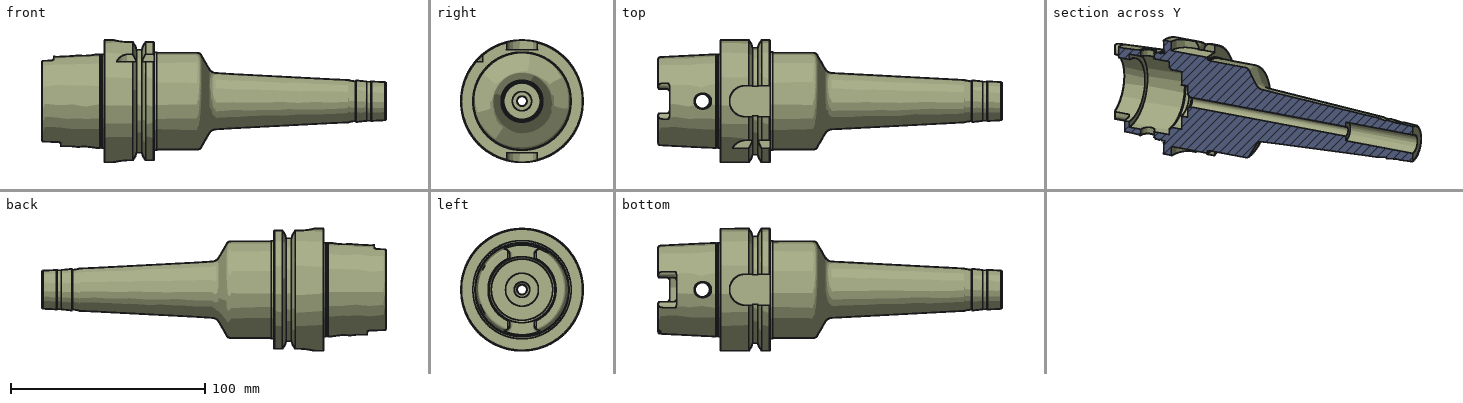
import cadquery as cq
import math

LENGTH = 177.0
EDGE_MARGIN = 0.2

GAUGE_RADIUS = 48.0 / 2
GAUGE_X = 25.7
TAPER_SLOPE = 0.05
TIP_FILLET = 1.5
NECK_START = 29.7
NECK_END = 31.0
NECK_BEVEL = 0.4
NECK_RADIUS = 23.9
SEAT_LAND_RADIUS = 24.2
FACE_RELIEF_RADIUS = 25.3
FACE_RELIEF_DEPTH = 0.5

FLANGE_RADIUS = 63.0 / 2
FLANGE_START = 32.0
FLANGE_END = 57.7
FLANGE_CHAMFER = 0.4
GROOVE_START = 48.1
GROOVE_END = 51.9
GROOVE_DRAFT = 0.5
GROOVE_RADIUS = 27.6
GROOVE_LIP_RADIUS = 29.4
GROOVE_LIP_LEFT = 1.5
GROOVE_LIP_RIGHT = 1.5

BODY_RADIUS = 50.0 / 2
COLLAR_RADIUS = 25.3
COLLAR_LENGTH = 1.2
BODY_CORNER_X = 81.2
BODY_FILLET = 2.5
CONE_ANGLE = 60.0

NOSE_START_RADIUS = 14.7
NOSE_FILLET = 3.9
NOSE_STEP_X = 157.5
NOSE_STEP_RADIUS = 11.0
RING_STEP = 0.5
RING_SEAT_RADIUS = 10.3
RING_X = 161.2
RING_RADIUS = 10.8
NOSE_GROOVE_START = 166.5
NOSE_GROOVE_END = 169.5
NOSE_GROOVE_RADIUS = 10.1
NOSE_TIP_RADIUS = 10.0
NOSE_CHAMFER = 0.5

BORE_RADIUS = 34.0 / 2
BORE_CHAMFER = 0.5
BORE_STRAIGHT = 12.4
CAVITY_RADIUS = 40.0 / 2
CAVITY_END = 35.4
FLOOR_RADIUS = 15.8
FLOOR_X = 42.5
SEAT_RADIUS = 17.0 / 2
SEAT_DEPTH = 3.5
COOLANT_RADIUS = 5.0 / 2
COOLANT_MOUTH_RADIUS = 8.0 / 2
TOOL_BORE_RADIUS = 10.0 / 2
TOOL_BORE_DEPTH = 39.0

CLAMP_HOLE_X = 22.8
CLAMP_HOLE_RADIUS = 7.5 / 2
CLAMP_HOLE_CHAMFER = 0.7

KEYWAY_HALF_WIDTH = 6.2
KEYWAY_ROUND = 3.0
KEYWAY_ROUND_TOP = 20.9
KEYWAY_MOUTH_FLARE = 1.0
KEYWAY_MOUTH_LENGTH = 0.5
KEYWAY_FLOOR_FILLET = 1.5
TOP_KEYWAY_DEPTH = 6.0
BOTTOM_KEYWAY_DEPTH = 9.5

SLOT_WIDTH = 16.0
SLOT_END_X = 36.8
SLOT_FLOOR = 26.5
NOTCH_FLOOR = 20.2
NOTCH_WALL = 20.2
NOTCH_CUTTER_RADIUS = 7.5
NOTCH_END_X = 37.5


def turned(points):
    """Solid of revolution about the X axis from (x, radius) points."""
    return cq.Workplane("XY").polyline(points).close().revolve(360, (0, 0, 0), (1, 0, 0))


def circle_at(x):
    """Selector for the circular edges centred on the axis at x."""
    return cq.selectors.BoxSelector(
        (x - EDGE_MARGIN, -EDGE_MARGIN, -EDGE_MARGIN), (x + EDGE_MARGIN, EDGE_MARGIN, EDGE_MARGIN)
    )


def shank_radius(x):
    return GAUGE_RADIUS + TAPER_SLOPE * (x - GAUGE_X)


def outer_body():
    cone_length = (BODY_RADIUS - NOSE_START_RADIUS) / math.tan(math.radians(CONE_ANGLE))
    nose_start = BODY_CORNER_X + cone_length
    shank = [
        (0, 0),
        (0, shank_radius(0)),
        (NECK_START, shank_radius(NECK_START)),
        (NECK_START + NECK_BEVEL, NECK_RADIUS),
        (NECK_END - NECK_BEVEL, NECK_RADIUS),
        (NECK_END, SEAT_LAND_RADIUS),
        (FLANGE_START + FACE_RELIEF_DEPTH, SEAT_LAND_RADIUS),
        (FLANGE_START + FACE_RELIEF_DEPTH, FACE_RELIEF_RADIUS),
        (FLANGE_START, FACE_RELIEF_RADIUS),
    ]
    flange = [
        (FLANGE_START, FLANGE_RADIUS - FLANGE_CHAMFER),
        (FLANGE_START + FLANGE_CHAMFER, FLANGE_RADIUS),
        (GROOVE_START - GROOVE_LIP_LEFT, FLANGE_RADIUS),
        (GROOVE_START, GROOVE_LIP_RADIUS),
        (GROOVE_START + GROOVE_DRAFT, GROOVE_RADIUS),
        (GROOVE_END - GROOVE_DRAFT, GROOVE_RADIUS),
        (GROOVE_END, GROOVE_LIP_RADIUS),
        (GROOVE_END + GROOVE_LIP_RIGHT, FLANGE_RADIUS),
        (FLANGE_END - FLANGE_CHAMFER, FLANGE_RADIUS),
        (FLANGE_END, FLANGE_RADIUS - FLANGE_CHAMFER),
    ]
    body = [
        (FLANGE_END, COLLAR_RADIUS),
        (FLANGE_END + COLLAR_LENGTH, COLLAR_RADIUS),
        (FLANGE_END + COLLAR_LENGTH, BODY_RADIUS),
        (BODY_CORNER_X, BODY_RADIUS),
    ]
    nose = [
        (nose_start, NOSE_START_RADIUS),
        (NOSE_STEP_X, NOSE_STEP_RADIUS),
        (NOSE_STEP_X + RING_STEP, RING_RADIUS),
        (RING_X, RING_SEAT_RADIUS),
        (RING_X + RING_STEP, RING_RADIUS),
        (NOSE_GROOVE_START, RING_SEAT_RADIUS),
        (NOSE_GROOVE_START + RING_STEP, NOSE_GROOVE_RADIUS),
        (NOSE_GROOVE_END - RING_STEP, NOSE_GROOVE_RADIUS),
        (NOSE_GROOVE_END, RING_SEAT_RADIUS),
        (LENGTH - NOSE_CHAMFER, NOSE_TIP_RADIUS),
        (LENGTH, NOSE_TIP_RADIUS - NOSE_CHAMFER),
        (LENGTH, 0),
    ]
    blank = turned(shank + flange + body + nose)
    blank = blank.edges(circle_at(0)).fillet(TIP_FILLET)
    blank = blank.edges(circle_at(BODY_CORNER_X)).fillet(BODY_FILLET)
    return blank.edges(circle_at(nose_start)).fillet(NOSE_FILLET)


def inner_cavity():
    mouth_depth = COOLANT_MOUTH_RADIUS - COOLANT_RADIUS
    seat_x = FLOOR_X + SEAT_DEPTH
    floor_chamfer = BORE_RADIUS - FLOOR_RADIUS
    return turned([
        (0, 0),
        (0, BORE_RADIUS + BORE_CHAMFER),
        (BORE_CHAMFER, BORE_RADIUS),
        (BORE_STRAIGHT, BORE_RADIUS),
        (BORE_STRAIGHT, CAVITY_RADIUS),
        (CAVITY_END, CAVITY_RADIUS),
        (CAVITY_END, BORE_RADIUS),
        (CAVITY_END + floor_chamfer, FLOOR_RADIUS),
        (FLOOR_X, FLOOR_RADIUS),
        (FLOOR_X, SEAT_RADIUS),
        (seat_x, SEAT_RADIUS),
        (seat_x, COOLANT_MOUTH_RADIUS),
        (seat_x + mouth_depth, COOLANT_RADIUS),
        (LENGTH - TOOL_BORE_DEPTH, COOLANT_RADIUS),
        (LENGTH - TOOL_BORE_DEPTH, TOOL_BORE_RADIUS),
        (LENGTH, TOOL_BORE_RADIUS),
        (LENGTH, 0),
    ])


def clamp_hole():
    """Hole across the whole shank along Z."""
    middle = cq.Workplane("XY", origin=(CLAMP_HOLE_X, 0, 0))
    return middle.circle(CLAMP_HOLE_RADIUS).extrude(FLANGE_RADIUS, both=True)


def countersink():
    """45 degree cone that breaks the +Z rim of the clamp hole."""
    base = (CLAMP_HOLE_X, 0, shank_radius(CLAMP_HOLE_X) - CLAMP_HOLE_CHAMFER)
    height = CLAMP_HOLE_RADIUS
    cone = cq.Solid.makeCone(CLAMP_HOLE_RADIUS, CLAMP_HOLE_RADIUS + height, height, pnt=cq.Vector(*base))
    return cq.Workplane(cone)


def keyway(depth):
    """Keyway open at the shank tip on the +Z side, its walls rounded outward to the surface."""
    arc_start = KEYWAY_ROUND_TOP - KEYWAY_ROUND
    arc_end_y = KEYWAY_HALF_WIDTH + KEYWAY_ROUND
    arc_reach = KEYWAY_ROUND * (1 - math.sqrt(0.5))
    arc_mid = (KEYWAY_HALF_WIDTH + arc_reach, KEYWAY_ROUND_TOP - arc_reach)
    key = (
        cq.Workplane("YZ")
        .moveTo(-KEYWAY_HALF_WIDTH, 0)
        .lineTo(KEYWAY_HALF_WIDTH, 0)
        .lineTo(KEYWAY_HALF_WIDTH, arc_start)
        .threePointArc(arc_mid, (arc_end_y, KEYWAY_ROUND_TOP))
        .lineTo(arc_end_y, FLANGE_RADIUS)
        .lineTo(-arc_end_y, FLANGE_RADIUS)
        .lineTo(-arc_end_y, KEYWAY_ROUND_TOP)
        .threePointArc((-arc_mid[0], arc_mid[1]), (-KEYWAY_HALF_WIDTH, arc_start))
        .close()
        .extrude(depth)
    )
    side_edges = cq.selectors.BoxSelector(
        (depth - EDGE_MARGIN, -arc_end_y + EDGE_MARGIN, EDGE_MARGIN),
        (depth + EDGE_MARGIN, arc_end_y - EDGE_MARGIN, KEYWAY_ROUND_TOP),
    )
    mouth_half_width = KEYWAY_HALF_WIDTH + KEYWAY_MOUTH_FLARE
    mouth = (
        cq.Workplane("XY")
        .moveTo(0, -mouth_half_width)
        .lineTo(KEYWAY_MOUTH_LENGTH, -KEYWAY_HALF_WIDTH)
        .lineTo(KEYWAY_MOUTH_LENGTH, KEYWAY_HALF_WIDTH)
        .lineTo(0, mouth_half_width)
        .close()
        .extrude(KEYWAY_ROUND_TOP)
    )
    return key.edges(side_edges).fillet(KEYWAY_FLOOR_FILLET).union(mouth)


def round_ended_cut(end_x, centre_y, end_radius, floor):
    """Cut along X into the +Z side of the flange, round at one end and open toward the nose."""
    centre_x = end_x + end_radius
    height = FLANGE_RADIUS - floor
    return (
        cq.Workplane("XY", origin=(0, 0, floor))
        .moveTo(FLANGE_END, centre_y - end_radius)
        .lineTo(centre_x, centre_y - end_radius)
        .threePointArc((end_x, centre_y), (centre_x, centre_y + end_radius))
        .lineTo(FLANGE_END, centre_y + end_radius)
        .close()
        .extrude(height)
    )


flange_slot = round_ended_cut(SLOT_END_X, 0, SLOT_WIDTH / 2, SLOT_FLOOR)
corner_notch = round_ended_cut(
    NOTCH_END_X, -NOTCH_WALL - NOTCH_CUTTER_RADIUS, NOTCH_CUTTER_RADIUS, NOTCH_FLOOR
)

result = outer_body().cut(inner_cavity()).cut(clamp_hole())
result = result.cut(countersink()).cut(countersink().mirror("XY"))
result = result.cut(keyway(TOP_KEYWAY_DEPTH))
result = result.cut(keyway(BOTTOM_KEYWAY_DEPTH).mirror("XY"))
result = result.cut(flange_slot).cut(flange_slot.mirror("XY"))
result = result.cut(corner_notch)